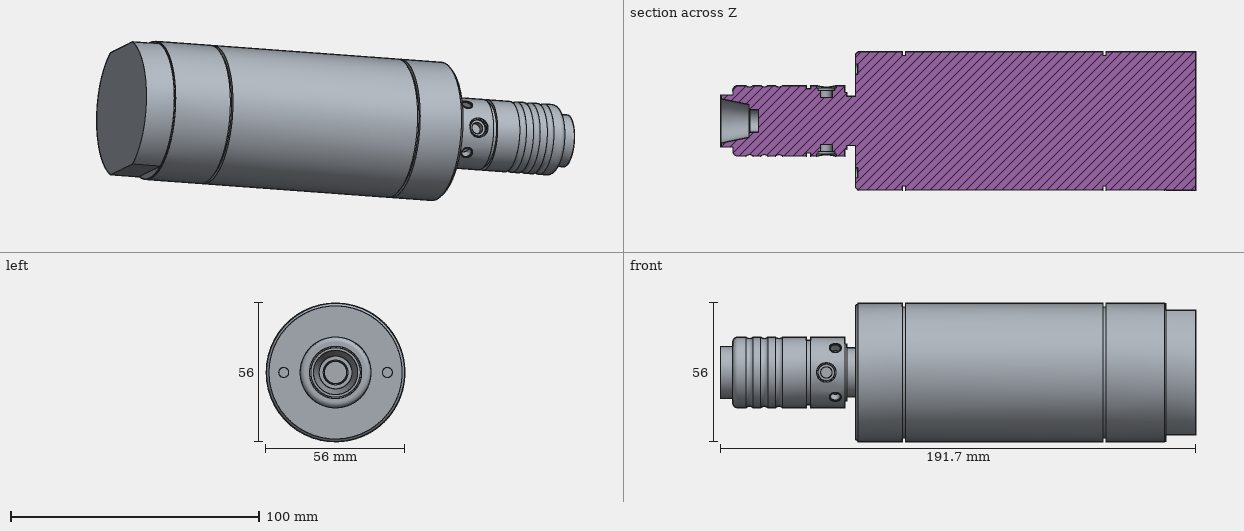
import cadquery as cq
import math

total_length = 191.7
sleeve_start = 5.0
sleeve_end = 50.2
collar_end = 51.0
body_start = 54.5
shoulder = 179.6

nose_dia = 21.0
sleeve_dia = 28.5
collar_dia = 23.0
neck_dia = 20.0
body_dia = 56.0

sleeve_front_fillet = 2.1
body_front_chamfer = 1.2

mouth_dia = 20.0
mouth_depth = 0.4
seat_dia = 18.0
seat_floor_dia = 13.2
seat_depth = 11.5
port_rim_dia = 10.0
port_dia = 9.0
port_depth = 3.8

grip_groove_count = 3
grip_groove_start = 10.4
grip_groove_pitch = 6.0
grip_groove_width = 2.9
grip_groove_dia = 27.5

relief_start = 34.7
relief_width = 1.7
relief_dia = 26.0

body_groove_starts = (73.5, 154.3)
body_groove_width = 1.2
body_groove_dia = 53.0

shoulder_groove_width = 0.5
shoulder_groove_dia = 55.5
across_flats = 50.2

side_port_x = 42.7
side_port_angles = (0, 180)
side_port_rim_dia = 7.9
side_port_rim_depth = 1.0
side_port_dia = 6.7
side_port_depth = 2.0
side_core_dia = 4.6
side_core_depth = 4.8

screw_x = 46.4
screw_angles = (45, 135, 225, 315)
screw_rim_dia = 4.8
screw_rim_depth = 0.5
screw_dia = 4.0
screw_depth = 3.8

spanner_dia = 4.0
spanner_offset = 20.9
spanner_depth = 1.0

AXIS = cq.Vector(1, 0, 0)
CUT_MARGIN = 2.0


def disc(start, end, dia, y=0):
    """Cylinder along X between two stations."""
    return cq.Workplane("YZ", origin=(start, y, 0)).circle(dia / 2).extrude(end - start)


def cone(start, end, start_dia, end_dia):
    """Cone along X between two stations."""
    base = cq.Vector(start, 0, 0)
    return cq.Workplane(cq.Solid.makeCone(start_dia / 2, end_dia / 2, end - start, base, AXIS))


def square_groove(start, width, outer_dia, groove_dia):
    """Ring that cuts a flat-bottomed groove."""
    end = start + width
    return disc(start, end, outer_dia + CUT_MARGIN).cut(disc(start, end, groove_dia))


def round_groove(start):
    """Ring that cuts an arc-shaped groove into the sleeve, deepest at mid-width."""
    surface = sleeve_dia / 2
    end = start + grip_groove_width
    bottom = (start + grip_groove_width / 2, grip_groove_dia / 2)
    profile = (
        cq.Workplane("XY")
        .moveTo(start, surface)
        .threePointArc(bottom, (end, surface))
        .lineTo(end, surface + CUT_MARGIN)
        .lineTo(start, surface + CUT_MARGIN)
        .close()
    )
    return profile.revolve(360, (0, 0, 0), (1, 0, 0))


def radial_hole(x, angle, steps):
    """Blind stepped hole into the sleeve from (diameter, depth) steps; angle 0 points along +Y."""
    turn = math.radians(angle)
    outward = cq.Vector(0, math.cos(turn), math.sin(turn))
    hole = cq.Workplane()
    for dia, depth in steps:
        bottom = cq.Vector(x, 0, 0) + outward * (sleeve_dia / 2 - depth)
        step = cq.Solid.makeCylinder(dia / 2, depth + CUT_MARGIN, bottom, outward)
        hole = hole.add(step)
    return hole.combine()


def turned_blank():
    """Nose, sleeve, collar, neck and body joined on one axis."""
    nose = disc(0, sleeve_start, nose_dia)
    sleeve = disc(sleeve_start, sleeve_end, sleeve_dia).faces("<X").edges().fillet(sleeve_front_fillet)
    collar = disc(sleeve_end, collar_end, collar_dia)
    neck = disc(collar_end, body_start, neck_dia)
    body = disc(body_start, total_length, body_dia).faces("<X").chamfer(body_front_chamfer)
    return nose.union(sleeve).union(collar).union(neck).union(body)


def connector_bore():
    """Mouth recess, tapered seat and chamfered blind port."""
    port_chamfer = (port_rim_dia - port_dia) / 2
    mouth = disc(0, mouth_depth, mouth_dia)
    seat = cone(0, seat_depth, seat_dia, seat_floor_dia)
    port_rim = cone(seat_depth, seat_depth + port_chamfer, port_rim_dia, port_dia)
    port = disc(seat_depth, seat_depth + port_depth, port_dia)
    return mouth.union(seat).union(port_rim).union(port)


def wrench_flats():
    """Material outside two parallel flats, normal to Z, at the rear end."""
    length = total_length - shoulder
    around = cq.Workplane("XY").box(length, body_dia + CUT_MARGIN, body_dia + CUT_MARGIN)
    kept = cq.Workplane("XY").box(length, body_dia + CUT_MARGIN, across_flats)
    return around.cut(kept).translate((shoulder + length / 2, 0, 0))


result = turned_blank().cut(connector_bore()).cut(wrench_flats())

for i in range(grip_groove_count):
    result = result.cut(round_groove(grip_groove_start + i * grip_groove_pitch))
result = result.cut(square_groove(relief_start, relief_width, sleeve_dia, relief_dia))
for start in body_groove_starts:
    result = result.cut(square_groove(start, body_groove_width, body_dia, body_groove_dia))
shoulder_groove_start = shoulder - shoulder_groove_width
result = result.cut(
    square_groove(shoulder_groove_start, shoulder_groove_width, body_dia, shoulder_groove_dia)
)

side_port_steps = (
    (side_port_rim_dia, side_port_rim_depth),
    (side_port_dia, side_port_depth),
    (side_core_dia, side_core_depth),
)
screw_steps = (
    (screw_rim_dia, screw_rim_depth),
    (screw_dia, screw_depth),
)
for angle in side_port_angles:
    result = result.cut(radial_hole(side_port_x, angle, side_port_steps))
for angle in screw_angles:
    result = result.cut(radial_hole(screw_x, angle, screw_steps))

for y in (-spanner_offset, spanner_offset):
    result = result.cut(disc(body_start, body_start + spanner_depth, spanner_dia, y))